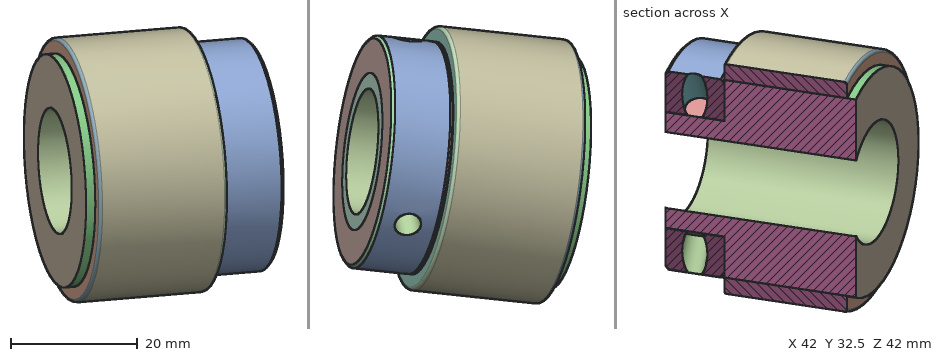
import cadquery as cq

ring_diameter = 42.0
sleeve_diameter = 37.0
neck_diameter = 25.0
bore_diameter = 20.0
ring_length = 21.0
sleeve_protrusion = 1.5
collar_length = 10.0
ring_edge_radius = 0.5
collar_edge_chamfer = 0.5
screw_hole_diameter = 4.2
screw_hole_angles = (-30.0, -150.0)

collar_diameter = sleeve_diameter
collar_start = sleeve_protrusion + ring_length
screw_hole_y = collar_start + collar_length / 2


def make_cylinder(diameter, start, length):
    """Solid cylinder on the common axis, running along +Y from start."""
    plane = cq.Plane(origin=(0, start, 0), xDir=(1, 0, 0), normal=(0, 1, 0))
    return cq.Workplane(plane).circle(diameter / 2).extrude(length)


def make_screw_hole(angle):
    """Radial cutter from the axis out through one side of the collar."""
    cutter = cq.Workplane("XY", origin=(0, screw_hole_y, 0))
    cutter = cutter.circle(screw_hole_diameter / 2).extrude(collar_diameter)
    return cutter.rotate((0, 0, 0), (0, 1, 0), angle)


def make_sleeve():
    """Inner sleeve: wide through the ring, stepping down to a neck inside the collar."""
    wide_part = make_cylinder(sleeve_diameter, 0, collar_start)
    neck = make_cylinder(neck_diameter, collar_start, collar_length)
    bore = make_cylinder(bore_diameter, 0, collar_start + collar_length)
    return wide_part.union(neck).cut(bore)


def make_ring():
    """Outer ring fitted around the sleeve, with rounded outer edges."""
    body = make_cylinder(ring_diameter, sleeve_protrusion, ring_length)
    body = body.faces("<Y or >Y").edges().fillet(ring_edge_radius)
    return body.cut(make_cylinder(sleeve_diameter, sleeve_protrusion, ring_length))


def make_collar():
    """Chamfered collar on the neck, with radial set-screw holes down to the neck."""
    body = make_cylinder(collar_diameter, collar_start, collar_length)
    body = body.faces("<Y or >Y").edges().chamfer(collar_edge_chamfer)
    body = body.cut(make_cylinder(neck_diameter, collar_start, collar_length))
    for angle in screw_hole_angles:
        body = body.cut(make_screw_hole(angle))
    return body


sleeve = make_sleeve()
ring = make_ring()
collar = make_collar()

result = cq.Compound.makeCompound([sleeve.val(), ring.val(), collar.val()])